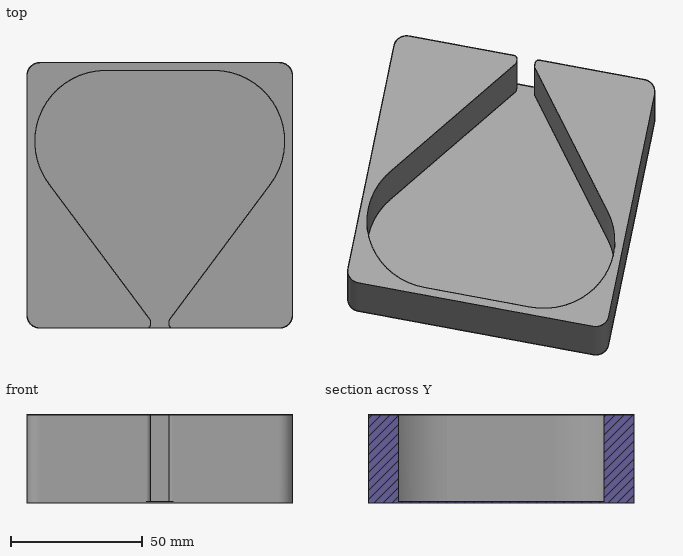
import cadquery as cq
import math

side = 101.0
height = 33.6
corner_radius = 5.0

floor_thickness = 0.6
wall_thickness = 3.0
lobe_radius = 27.0

mouth_half_width = 3.5
mouth_edge_radius = 1.5

front_y = -side / 2
throat_y = front_y + wall_thickness
lobe_x = side / 2 - wall_thickness - lobe_radius
lobe_y = lobe_x
pocket_depth = height - floor_thickness


def make_block():
    block = cq.Workplane("XY").box(side, side, height, centered=(True, True, False))
    return block.edges("|Z").fillet(corner_radius)


def lobe_point(angle):
    """Point on the right-hand lobe at an angle from +X."""
    return lobe_x + lobe_radius * math.cos(angle), lobe_y + lobe_radius * math.sin(angle)


def mirrored(point):
    return -point[0], point[1]


def slanted_wall_angle():
    """Angle from +X of the right-hand wall, which runs from the throat tangent into the lobe."""
    run_x = lobe_x - mouth_half_width
    run_y = lobe_y - throat_y
    return math.atan2(run_y, run_x) - math.asin(lobe_radius / math.hypot(run_x, run_y))


def make_pocket():
    tangent_angle = slanted_wall_angle() - math.pi / 2
    arc_start = lobe_point(tangent_angle)
    arc_middle = lobe_point((tangent_angle + math.pi / 2) / 2)
    arc_end = lobe_point(math.pi / 2)
    lip = (mouth_half_width, front_y)
    throat = (mouth_half_width, throat_y)

    return (
        cq.Workplane("XY", origin=(0, 0, floor_thickness))
        .moveTo(*lip)
        .lineTo(*throat)
        .lineTo(*arc_start)
        .threePointArc(arc_middle, arc_end)
        .lineTo(*mirrored(arc_end))
        .threePointArc(mirrored(arc_middle), mirrored(arc_start))
        .lineTo(*mirrored(throat))
        .lineTo(*mirrored(lip))
        .close()
        .extrude(pocket_depth)
    )


def round_mouth_edges(body, edge_y):
    """Round the pair of upright mouth edges that stand at edge_y."""
    middle_z = floor_thickness + pocket_depth / 2
    for x in (-mouth_half_width, mouth_half_width):
        edge = cq.selectors.NearestToPointSelector((x, edge_y, middle_z))
        body = body.edges("|Z").edges(edge).fillet(mouth_edge_radius)
    return body


result = make_block().cut(make_pocket())
for mouth_end_y in (throat_y, front_y):
    result = round_mouth_edges(result, mouth_end_y)